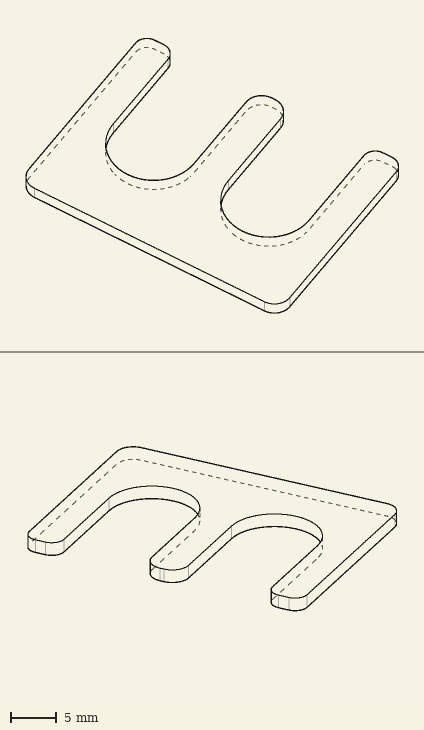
import cadquery as cq

width = 34.0
depth = 25.0
thickness = 1.55
base_corner_radius = 2.0

slot_width = 10.5
slot_spacing = 15.0
web_depth = 7.2

outer_tip_radius = 1.5
middle_tip_radius = 2.0

slot_radius = slot_width / 2
slot_arc_y = web_depth + slot_radius
middle_prong_width = slot_spacing - slot_width


def make_plate():
    """Plate centred on X with its -Y edge at Y = 0 and its base at Z = 0."""
    plate = cq.Workplane("XY").box(width, depth, thickness, centered=(True, False, False))
    return plate.edges("|Z and <Y").fillet(base_corner_radius)


def make_slot(center_x):
    """Cutter for one open slot with a semicircular bottom."""
    left = center_x - slot_radius
    right = center_x + slot_radius
    return (
        cq.Workplane("XY")
        .moveTo(left, depth)
        .lineTo(left, slot_arc_y)
        .threePointArc((center_x, web_depth), (right, slot_arc_y))
        .lineTo(right, depth)
        .close()
        .extrude(thickness)
    )


def round_tips(body):
    """Round the vertical edges at the prong tips."""
    middle_tip = cq.selectors.BoxSelector(
        (-middle_prong_width, slot_arc_y, -thickness),
        (middle_prong_width, 2 * depth, 2 * thickness),
    )
    tip_edges = cq.selectors.StringSyntaxSelector("|Z and >Y")
    body = body.edges(tip_edges - middle_tip).fillet(outer_tip_radius)
    return body.edges("|Z").edges(middle_tip).edges(">Y").fillet(middle_tip_radius)


result = make_plate()
for side in (-1, 1):
    result = result.cut(make_slot(side * slot_spacing / 2))
result = round_tips(result)